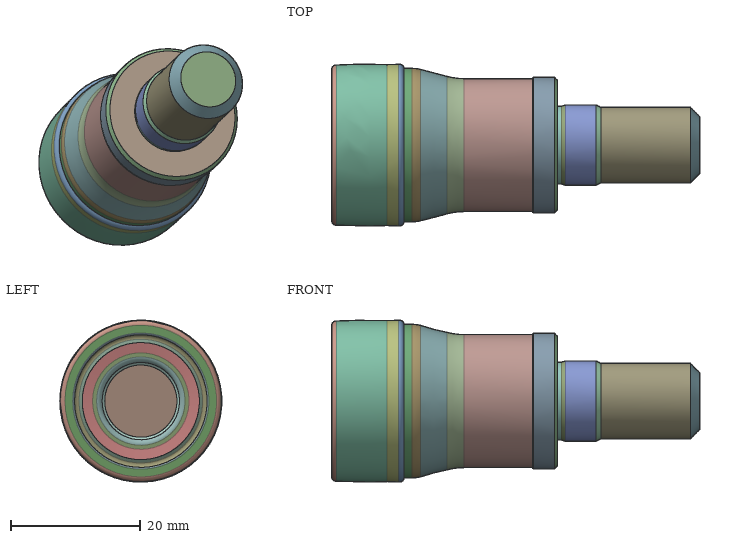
import cadquery as cq
import math

TOTAL_LENGTH = 56.95

RING_RADIUS = 12.55
RING_LENGTH = 11.2
FRONT_EDGE_RADIUS = 12.4
FRONT_FACE_RADIUS = 11.75
FRONT_ROUNDING = 0.75
BARREL_PEAK = 4.3
BARREL_END = 8.6
BARREL_END_RADIUS = 12.5
REAR_ROUNDING_START = 10.35
REAR_EDGE_RADIUS = 11.95

RECESS_MOUTH_RADIUS = 10.55
RECESS_LIP = 0.3
GROOVE_RADIUS = 9.55
GROOVE_DEPTH = 0.55
GROOVE_INNER_RADIUS = 9.05
GROOVE_INNER_DEPTH = 0.35
LEDGE_OUTER_RADIUS = 7.45
LEDGE_INNER_RADIUS = 6.85
LEDGE_DEPTH = 0.55

NOSE_RADIUS = 6.0
NOSE_START = LEDGE_DEPTH + LEDGE_INNER_RADIUS - NOSE_RADIUS
DISH_RADIUS = 5.6
DISH_DEPTH = 0.3

NECK_RADIUS = 11.9
NECK_END = 12.4
GRIP_RADIUS = 10.3
GRIP_START = 20.45
FLARE_ANGLE = math.radians(15)
SHOULDER_ARC_RADIUS = 5.3
HOLLOW_ARC_RADIUS = 9.9
FLANGE_RADIUS = 21.0 / 2
FLANGE_START = 31.05
FLANGE_END = 35.0
FLANGE_FRONT_CHAMFER = 0.15
FLANGE_CHAMFER = 0.5

RELIEF_RADIUS = 12.1 / 2
RELIEF_END = 35.55
COLLAR_RADIUS = 12.5 / 2
COLLAR_START = 36.2
COLLAR_END = 40.9
SHANK_RADIUS = 11.75 / 2
SHANK_START = 41.65
TIP_CHAMFER = 1.5


def revolve_about_x(profile):
    """Turn a closed (axial, radial) profile about the X axis."""
    return profile.close().revolve(360, (0, 0, 0), (1, 0, 0))


def on_arc(center, radii, angle):
    """Point at an angle on an axis-aligned ellipse, with (axial, radial) coordinates."""
    return (center[0] + radii[0] * math.cos(angle), center[1] + radii[1] * math.sin(angle))


def make_bumper_ring():
    diagonal = math.radians(45)
    front_mid = on_arc(
        (FRONT_ROUNDING, FRONT_FACE_RADIUS),
        (FRONT_ROUNDING, FRONT_EDGE_RADIUS - FRONT_FACE_RADIUS),
        math.pi - diagonal,
    )
    rear_mid = on_arc(
        (REAR_ROUNDING_START, REAR_EDGE_RADIUS),
        (RING_LENGTH - REAR_ROUNDING_START, RING_RADIUS - REAR_EDGE_RADIUS),
        diagonal,
    )
    lip_mid = on_arc((RECESS_LIP, RECESS_MOUTH_RADIUS), (RECESS_LIP, RECESS_LIP), -math.pi + diagonal)
    groove_wall_radius = RECESS_MOUTH_RADIUS - RECESS_LIP
    groove_mid = on_arc(
        (RECESS_LIP, GROOVE_RADIUS),
        (GROOVE_DEPTH - RECESS_LIP, groove_wall_radius - GROOVE_RADIUS),
        diagonal,
    )
    bore_rounding = LEDGE_INNER_RADIUS - NOSE_RADIUS
    bore_mid = on_arc((NOSE_START, LEDGE_INNER_RADIUS), (bore_rounding, bore_rounding), -math.pi + diagonal)

    profile = (
        cq.Workplane("XY")
        .moveTo(0, FRONT_FACE_RADIUS)
        .threePointArc(front_mid, (FRONT_ROUNDING, FRONT_EDGE_RADIUS))
        .threePointArc((BARREL_PEAK, RING_RADIUS), (BARREL_END, BARREL_END_RADIUS))
        .lineTo(REAR_ROUNDING_START, RING_RADIUS)
        .threePointArc(rear_mid, (RING_LENGTH, REAR_EDGE_RADIUS))
        .lineTo(RING_LENGTH, NOSE_RADIUS)
        .lineTo(NOSE_START, NOSE_RADIUS)
        .threePointArc(bore_mid, (LEDGE_DEPTH, LEDGE_INNER_RADIUS))
        .lineTo(LEDGE_DEPTH, LEDGE_OUTER_RADIUS)
        .lineTo(GROOVE_INNER_DEPTH, GROOVE_INNER_RADIUS)
        .lineTo(GROOVE_DEPTH, GROOVE_RADIUS)
        .threePointArc(groove_mid, (RECESS_LIP, groove_wall_radius))
        .threePointArc(lip_mid, (0, RECESS_MOUTH_RADIUS))
    )
    return revolve_about_x(profile)


def make_pin():
    shoulder_center = (NECK_END, NECK_RADIUS - SHOULDER_ARC_RADIUS)
    shoulder_radii = (SHOULDER_ARC_RADIUS, SHOULDER_ARC_RADIUS)
    shoulder_top = math.pi / 2
    shoulder_mid = on_arc(shoulder_center, shoulder_radii, shoulder_top - FLARE_ANGLE / 2)
    shoulder_end = on_arc(shoulder_center, shoulder_radii, shoulder_top - FLARE_ANGLE)

    hollow_center = (GRIP_START, GRIP_RADIUS + HOLLOW_ARC_RADIUS)
    hollow_radii = (HOLLOW_ARC_RADIUS, HOLLOW_ARC_RADIUS)
    hollow_bottom = -math.pi / 2
    hollow_start = on_arc(hollow_center, hollow_radii, hollow_bottom - FLARE_ANGLE)
    hollow_mid = on_arc(hollow_center, hollow_radii, hollow_bottom - FLARE_ANGLE / 2)

    profile = (
        cq.Workplane("XY")
        .moveTo(NOSE_START + DISH_DEPTH, 0)
        .lineTo(NOSE_START + DISH_DEPTH, DISH_RADIUS)
        .lineTo(NOSE_START, NOSE_RADIUS)
        .lineTo(RING_LENGTH, NOSE_RADIUS)
        .lineTo(RING_LENGTH, NECK_RADIUS)
        .lineTo(NECK_END, NECK_RADIUS)
        .threePointArc(shoulder_mid, shoulder_end)
        .lineTo(*hollow_start)
        .threePointArc(hollow_mid, (GRIP_START, GRIP_RADIUS))
        .lineTo(FLANGE_START, GRIP_RADIUS)
        .lineTo(FLANGE_START, FLANGE_RADIUS - FLANGE_FRONT_CHAMFER)
        .lineTo(FLANGE_START + FLANGE_FRONT_CHAMFER, FLANGE_RADIUS)
        .lineTo(FLANGE_END - FLANGE_CHAMFER, FLANGE_RADIUS)
        .lineTo(FLANGE_END, FLANGE_RADIUS - FLANGE_CHAMFER)
        .lineTo(FLANGE_END, RELIEF_RADIUS)
        .lineTo(RELIEF_END, RELIEF_RADIUS)
        .lineTo(COLLAR_START, COLLAR_RADIUS)
        .lineTo(COLLAR_END, COLLAR_RADIUS)
        .lineTo(SHANK_START, SHANK_RADIUS)
        .lineTo(TOTAL_LENGTH - TIP_CHAMFER, SHANK_RADIUS)
        .lineTo(TOTAL_LENGTH, SHANK_RADIUS - TIP_CHAMFER)
        .lineTo(TOTAL_LENGTH, 0)
    )
    return revolve_about_x(profile)


bumper_ring = make_bumper_ring()
pin = make_pin()

result = cq.Compound.makeCompound([bumper_ring.val(), pin.val()])